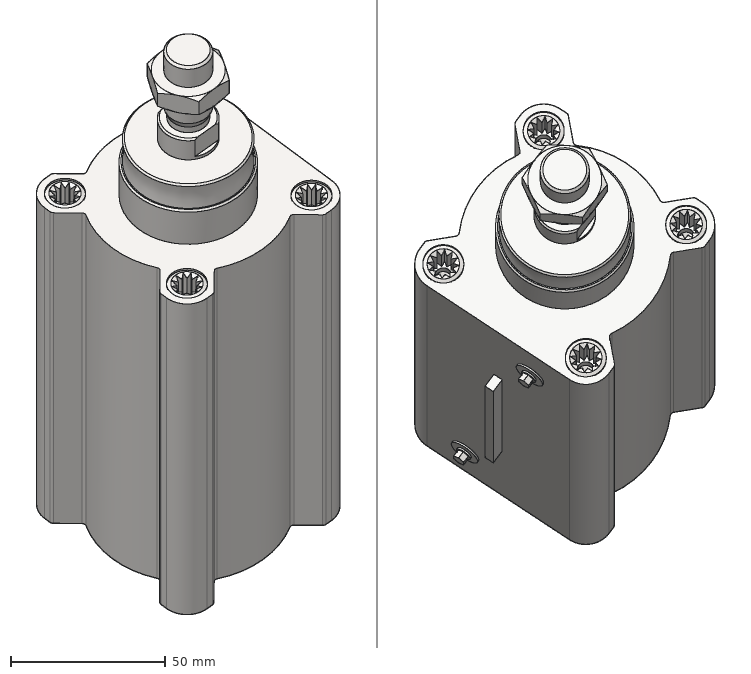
import cadquery as cq
import math

TOTAL_HEIGHT = 218.0

BODY_BOTTOM = 4.4
BODY_TOP = 150.3
HALF_WIDTH = 37.5
BODY_RADIUS = 34.5
SOCKET_PITCH = 56.5
LOBE_FLAT_END = 25.0
LOBE_CORNER_FILLET = 1.5
LOBE_ROOT_FILLET = 1.3

BOSS_DIAMETER = 45.0
BOSS_TOP = 166.0
COLLAR_DIAMETER = 42.7
COLLAR_TOP = 176.9
COLLAR_WAIST = 0.5
EDGE_CHAMFER = 0.7

RIM_GROOVE_DIAMETER = 13.3
RIM_CREST_DIAMETER = 10.5
RIM_SLOPE_ANGLE = 30.0
SOCKET_POINTS = 12
SOCKET_TIP_DIAMETER = 10.0
SOCKET_ROOT_DIAMETER = 6.5
SOCKET_DEPTH = 11.0
PILOT_DIAMETER = 5.5
PILOT_DEPTH = 3.3
DRILL_POINT_ANGLE = 118.0

FIN_WIDTH = 3.3
FIN_LENGTH = 65.0
FIN_HEIGHT = 5.0
PLUG_OFFSET_X = 12.9
PLUG_OFFSET_Z = 54.5
PLUG_FLANGE_DIAMETER = 10.5
PLUG_FLANGE_HEIGHT = 0.7
PLUG_RING_DIAMETER = 5.5
PLUG_RING_HEIGHT = 1.3
PLUG_HEX_FLATS = 4.0
PLUG_HEIGHT = 4.0

ROD_DIAMETER = 20.0
ROD_BOTTOM = BODY_TOP
ROD_SHOULDER = 186.5
ROD_FLATS = 17.0
ROD_FLATS_BOTTOM = 178.2
UNDERCUT_DIAMETER = 14.0
UNDERCUT_TOP = 189.0
THREAD_DIAMETER = 16.0
THREAD_BOTTOM = 191.7
THREAD_CHAMFER = 0.9
SHOULDER_CHAMFER = 0.7

NUT_FLATS = 24.0
NUT_BOTTOM = 200.7
NUT_HEIGHT = 8.0
NUT_CHAMFER_ANGLE = 30.0

BODY_HEIGHT = BODY_TOP - BODY_BOTTOM
BODY_MIDDLE = (BODY_TOP + BODY_BOTTOM) / 2
SOCKET_OFFSET = SOCKET_PITCH / 2


def hexagon_diameter(across_flats):
    """Across-corners size of a hexagon."""
    return across_flats / math.cos(math.radians(30))


def make_body():
    """Round barrel with a flat +Y side and four corner lobes."""
    lobe_radius = HALF_WIDTH - SOCKET_OFFSET
    lobe_mid = SOCKET_OFFSET + lobe_radius * math.sqrt(0.5)
    flank = HALF_WIDTH - LOBE_FLAT_END
    root_sum = math.sqrt(2 * BODY_RADIUS ** 2 - flank ** 2)
    root_far = (root_sum + flank) / 2
    root_near = (root_sum - flank) / 2

    outline = (
        cq.Workplane("XY", origin=(0, 0, BODY_BOTTOM))
        .moveTo(-SOCKET_OFFSET, HALF_WIDTH)
        .lineTo(SOCKET_OFFSET, HALF_WIDTH)
        .threePointArc((lobe_mid, lobe_mid), (HALF_WIDTH, SOCKET_OFFSET))
        .lineTo(HALF_WIDTH, LOBE_FLAT_END)
        .lineTo(root_far, root_near)
        .threePointArc((BODY_RADIUS, 0), (root_far, -root_near))
        .lineTo(HALF_WIDTH, -LOBE_FLAT_END)
        .lineTo(HALF_WIDTH, -SOCKET_OFFSET)
        .threePointArc((lobe_mid, -lobe_mid), (SOCKET_OFFSET, -HALF_WIDTH))
        .lineTo(LOBE_FLAT_END, -HALF_WIDTH)
        .lineTo(root_near, -root_far)
        .threePointArc((0, -BODY_RADIUS), (-root_near, -root_far))
        .lineTo(-LOBE_FLAT_END, -HALF_WIDTH)
        .lineTo(-SOCKET_OFFSET, -HALF_WIDTH)
        .threePointArc((-lobe_mid, -lobe_mid), (-HALF_WIDTH, -SOCKET_OFFSET))
        .lineTo(-HALF_WIDTH, -LOBE_FLAT_END)
        .lineTo(-root_far, -root_near)
        .threePointArc((-BODY_RADIUS, 0), (-root_far, root_near))
        .lineTo(-HALF_WIDTH, LOBE_FLAT_END)
        .lineTo(-HALF_WIDTH, SOCKET_OFFSET)
        .threePointArc((-lobe_mid, lobe_mid), (-SOCKET_OFFSET, HALF_WIDTH))
        .close()
    )
    body = outline.extrude(BODY_HEIGHT)

    corners = []
    roots = []
    for side in (-1, 1):
        roots += [
            (side * root_far, root_near),
            (side * root_far, -root_near),
            (side * root_near, -root_far),
        ]
        corners += [
            (side * HALF_WIDTH, LOBE_FLAT_END),
            (side * HALF_WIDTH, -LOBE_FLAT_END),
            (side * LOBE_FLAT_END, -HALF_WIDTH),
        ]
    body = fillet_upright_edges(body, corners, LOBE_CORNER_FILLET)
    return fillet_upright_edges(body, roots, LOBE_ROOT_FILLET)


def fillet_upright_edges(body, places, radius):
    """Round the body's vertical edges that stand at the given XY places."""
    for x, y in places:
        body = body.edges(cq.NearestToPointSelector((x, y, BODY_MIDDLE))).fillet(radius)
    return body


def make_boss_and_collar():
    """Bottom spigot, top boss and waisted collar, as one turned shape."""
    boss_radius = BOSS_DIAMETER / 2
    collar_radius = COLLAR_DIAMETER / 2
    arc_top = COLLAR_TOP - EDGE_CHAMFER
    return (
        cq.Workplane("XZ")
        .moveTo(0, 0)
        .lineTo(boss_radius - EDGE_CHAMFER, 0)
        .lineTo(boss_radius, EDGE_CHAMFER)
        .lineTo(boss_radius, BOSS_TOP - EDGE_CHAMFER)
        .lineTo(boss_radius - EDGE_CHAMFER, BOSS_TOP)
        .lineTo(collar_radius, BOSS_TOP)
        .threePointArc(
            (collar_radius - COLLAR_WAIST, (BOSS_TOP + arc_top) / 2),
            (collar_radius, arc_top),
        )
        .lineTo(collar_radius - EDGE_CHAMFER, COLLAR_TOP)
        .lineTo(0, COLLAR_TOP)
        .close()
        .revolve(360, (0, 0, 0), (0, 1, 0))
    )


def turn(points):
    """Solid of revolution about Z from its (radius, height) outline."""
    return cq.Workplane("XZ").polyline(points).close().revolve(360, (0, 0, 0), (0, 1, 0))


def make_rim_groove():
    """Ring cut that slopes down from the crest to an upright outer wall."""
    crest = RIM_CREST_DIAMETER / 2
    wall = RIM_GROOVE_DIAMETER / 2
    groove_floor = BODY_TOP - (wall - crest) * math.tan(math.radians(RIM_SLOPE_ANGLE))
    return turn([(crest, BODY_TOP), (wall, BODY_TOP), (wall, groove_floor)])


def make_countersink():
    """Shallow cone from the crest down to the roots of the socket points."""
    crest = RIM_CREST_DIAMETER / 2
    root = SOCKET_ROOT_DIAMETER / 2
    bottom = BODY_TOP - (crest - root) * math.tan(math.radians(RIM_SLOPE_ANGLE))
    return turn([(0, BODY_TOP), (crest, BODY_TOP), (root, bottom), (0, bottom)])


def make_star():
    """Star-shaped socket with straight upright walls."""
    points = []
    for step in range(2 * SOCKET_POINTS):
        radius = (SOCKET_TIP_DIAMETER if step % 2 == 0 else SOCKET_ROOT_DIAMETER) / 2
        angle = math.pi * step / SOCKET_POINTS
        points.append((radius * math.cos(angle), radius * math.sin(angle)))
    return (
        cq.Workplane("XY", origin=(0, 0, BODY_TOP - SOCKET_DEPTH))
        .polyline(points)
        .close()
        .extrude(SOCKET_DEPTH)
    )


def make_pilot():
    """Drilled hole with a drill point, below the socket floor."""
    radius = PILOT_DIAMETER / 2
    bottom = BODY_TOP - SOCKET_DEPTH - PILOT_DEPTH
    point = bottom - radius / math.tan(math.radians(DRILL_POINT_ANGLE / 2))
    return turn([(0, BODY_TOP), (radius, BODY_TOP), (radius, bottom), (0, point)])


def cut_corner_sockets(housing):
    """Cut a socket and its ring groove into the top of every corner lobe."""
    socket = make_star().union(make_countersink()).union(make_pilot())
    groove = make_rim_groove()
    for x in (-SOCKET_OFFSET, SOCKET_OFFSET):
        for y in (-SOCKET_OFFSET, SOCKET_OFFSET):
            housing = housing.cut(socket.translate((x, y, 0)))
            housing = housing.cut(groove.translate((x, y, 0)))
    return housing


def make_fin():
    """Upright rib, half sunk into the body, on the middle of the +Y face."""
    fin = cq.Workplane("XY").box(FIN_WIDTH, 2 * FIN_HEIGHT, FIN_LENGTH)
    return fin.translate((0, HALF_WIDTH, BODY_MIDDLE))


def make_plug(x, z):
    """Hex plug on a ring and a thin round flange, standing on the +Y face."""
    face = cq.Workplane("XZ", origin=(x, HALF_WIDTH, z))
    flange = face.circle(PLUG_FLANGE_DIAMETER / 2).extrude(-PLUG_FLANGE_HEIGHT)
    ring = face.circle(PLUG_RING_DIAMETER / 2).extrude(-PLUG_RING_HEIGHT)
    head = (
        face.transformed(rotate=(0, 0, 90))
        .polygon(6, hexagon_diameter(PLUG_HEX_FLATS))
        .extrude(-PLUG_HEIGHT)
    )
    return flange.union(ring).union(head)


def make_housing():
    """Body with boss, fin and plugs, bored for the rod and the corner sockets."""
    housing = make_body().union(make_boss_and_collar()).union(make_fin())
    for side in (-1, 1):
        housing = housing.union(make_plug(side * PLUG_OFFSET_X, BODY_MIDDLE - side * PLUG_OFFSET_Z))
    rod_bore = (
        cq.Workplane("XY", origin=(0, 0, ROD_BOTTOM))
        .circle(ROD_DIAMETER / 2)
        .extrude(COLLAR_TOP - ROD_BOTTOM)
    )
    return cut_corner_sockets(housing.cut(rod_bore))


def make_rod():
    """Piston rod with two wrench flats, an undercut and a threaded end."""
    rod_radius = ROD_DIAMETER / 2
    undercut_radius = UNDERCUT_DIAMETER / 2
    thread_radius = THREAD_DIAMETER / 2
    rod = (
        cq.Workplane("XZ")
        .moveTo(0, ROD_BOTTOM)
        .lineTo(rod_radius, ROD_BOTTOM)
        .lineTo(rod_radius, ROD_SHOULDER - SHOULDER_CHAMFER)
        .lineTo(rod_radius - SHOULDER_CHAMFER, ROD_SHOULDER)
        .lineTo(undercut_radius, ROD_SHOULDER)
        .lineTo(undercut_radius, UNDERCUT_TOP)
        .lineTo(thread_radius, THREAD_BOTTOM)
        .lineTo(thread_radius, TOTAL_HEIGHT - THREAD_CHAMFER)
        .lineTo(thread_radius - THREAD_CHAMFER, TOTAL_HEIGHT)
        .lineTo(0, TOTAL_HEIGHT)
        .close()
        .revolve(360, (0, 0, 0), (0, 1, 0))
    )
    flats_height = ROD_SHOULDER - ROD_FLATS_BOTTOM
    flats = (
        cq.Workplane("XY", origin=(0, 0, ROD_FLATS_BOTTOM))
        .rect(2 * ROD_DIAMETER, ROD_DIAMETER)
        .rect(ROD_FLATS, ROD_DIAMETER)
        .extrude(flats_height)
    )
    return rod.cut(flats)


def make_nut():
    """Hexagon nut with its corners turned off at both ends, corners on the Y axis."""
    corner_radius = hexagon_diameter(NUT_FLATS) / 2
    face_radius = NUT_FLATS / 2
    corner_drop = (corner_radius - face_radius) * math.tan(math.radians(NUT_CHAMFER_ANGLE))
    nut_top = NUT_BOTTOM + NUT_HEIGHT
    hexagon = (
        cq.Workplane("XY", origin=(0, 0, NUT_BOTTOM))
        .transformed(rotate=(0, 0, 90))
        .polygon(6, 2 * corner_radius)
        .extrude(NUT_HEIGHT)
    )
    turned_blank = (
        cq.Workplane("XZ")
        .moveTo(THREAD_DIAMETER / 2, NUT_BOTTOM)
        .lineTo(face_radius, NUT_BOTTOM)
        .lineTo(corner_radius, NUT_BOTTOM + corner_drop)
        .lineTo(corner_radius, nut_top - corner_drop)
        .lineTo(face_radius, nut_top)
        .lineTo(THREAD_DIAMETER / 2, nut_top)
        .close()
        .revolve(360, (0, 0, 0), (0, 1, 0))
    )
    return hexagon.intersect(turned_blank)


housing = make_housing()
rod = make_rod()
nut = make_nut()

result = cq.Compound.makeCompound([body.solids().val() for body in (housing, rod, nut)])